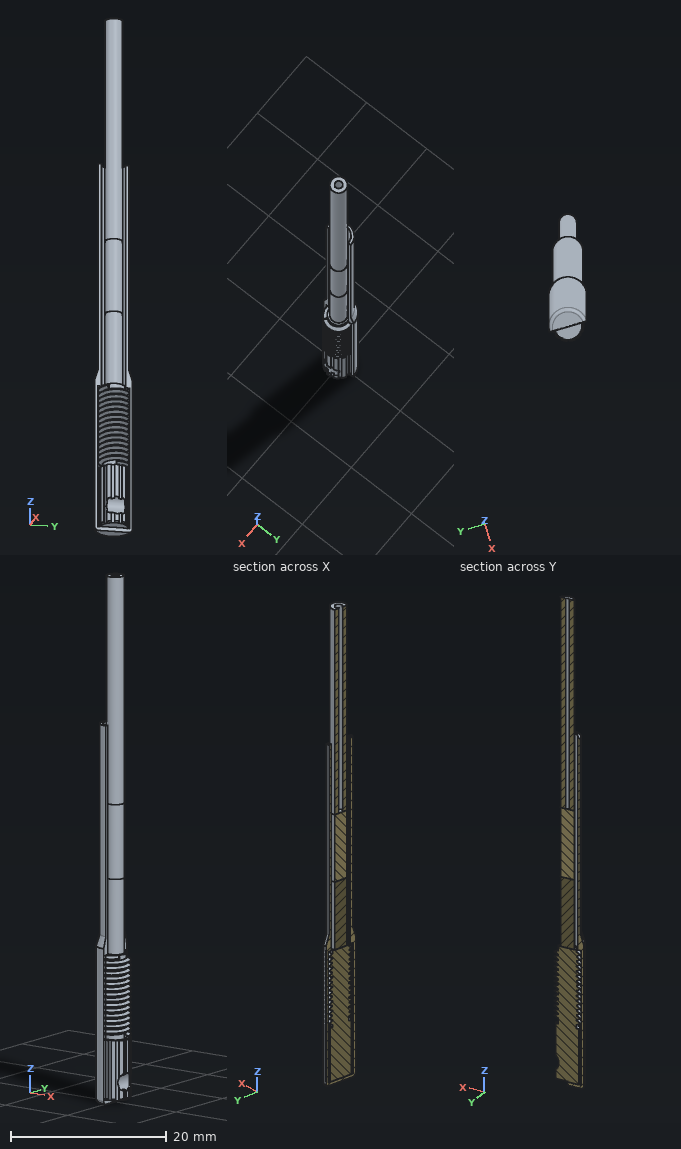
import cadquery as cq
import math

OVERALL_HEIGHT = 69.55

SLEEVE_RADIUS = 2.5
SLEEVE_NECK_RADIUS = 2.0
SLEEVE_HEIGHT = 50.0
SHOULDER_BOTTOM = 20.65
SHOULDER_TOP = 22.2
SLEEVE_END_FILLET = 0.5
SLEEVE_FLOOR = 0.55
CHAMBER_RADIUS = 2.1
NECK_BORE_RADIUS = 1.6

PLUG_RADIUS = 2.0
HEAD_BOTTOM = SLEEVE_FLOOR
HEAD_TOP = 8.5
HEAD_CHAMFER = 0.2
GROOVE_COUNT = 12
GROOVE_WIDTH = 0.4
GROOVE_DEPTH = 0.2
GROOVE_STEP = 360 / GROOVE_COUNT
NOTCH_RADIUS = 1.3
NOTCH_FLOOR_X = 1.3
NOTCH_HEIGHT = 2.9

THREAD_ANGLE = 60
PLUG_TOP = 19.7
THREAD_CREST_WIDTH = 0.03
THREAD_ROOT_RADIUS = 1.45
THREAD_ROOT_OVERLAP = 0.02
THREAD_BASE_RADIUS = THREAD_ROOT_RADIUS - THREAD_ROOT_OVERLAP
FLANK_SLOPE = math.tan(math.radians(THREAD_ANGLE / 2))
THREAD_START_Z = 8.9
THREAD_END_Z = 19.35
THREAD_TURNS = 14.9
THREAD_RISE = THREAD_END_Z - THREAD_START_Z
THREAD_PITCH = THREAD_RISE / THREAD_TURNS

ROD_DIAMETER = 2.3
ROD_RADIUS = ROD_DIAMETER / 2
POST_TOP = 29.6
COUPLING_TOP = 39.5
TUBE_BORE_RADIUS = 0.52


def cylinder(radius, bottom, top):
    """Solid cylinder on the Z axis between two heights."""
    return cq.Workplane("XY").workplane(offset=bottom).circle(radius).extrude(top - bottom)


def make_sleeve():
    """Half shell with a conical shoulder, a wide chamber and a narrower neck bore."""
    fillet_mid = SLEEVE_END_FILLET * (1 - math.sqrt(0.5))
    profile = (
        cq.Workplane("XZ")
        .moveTo(0, 0)
        .lineTo(-(SLEEVE_RADIUS - SLEEVE_END_FILLET), 0)
        .threePointArc((-(SLEEVE_RADIUS - fillet_mid), fillet_mid), (-SLEEVE_RADIUS, SLEEVE_END_FILLET))
        .lineTo(-SLEEVE_RADIUS, SHOULDER_BOTTOM)
        .lineTo(-SLEEVE_NECK_RADIUS, SHOULDER_TOP)
        .lineTo(-SLEEVE_NECK_RADIUS, SLEEVE_HEIGHT)
        .lineTo(-NECK_BORE_RADIUS, SLEEVE_HEIGHT)
        .lineTo(-NECK_BORE_RADIUS, PLUG_TOP)
        .lineTo(-CHAMBER_RADIUS, PLUG_TOP)
        .lineTo(-CHAMBER_RADIUS, SLEEVE_FLOOR)
        .lineTo(0, SLEEVE_FLOOR)
        .close()
    )
    full_sleeve = profile.revolve(360, (0, 0, 0), (0, 1, 0))
    keep_half = cq.Workplane("XY").box(
        SLEEVE_RADIUS, 2 * SLEEVE_RADIUS, SLEEVE_HEIGHT, centered=(False, True, False)
    ).translate((-SLEEVE_RADIUS, 0, 0))
    return full_sleeve.intersect(keep_half)


def make_head():
    """Grooved cylinder with a round notch across its +X side."""
    head = cylinder(PLUG_RADIUS, HEAD_BOTTOM, HEAD_TOP).faces("<Z").edges().chamfer(HEAD_CHAMFER)
    groove = cq.Workplane("XY").box(
        2 * GROOVE_DEPTH, GROOVE_WIDTH, HEAD_TOP, centered=(True, True, False)
    ).translate((PLUG_RADIUS, 0, 0))
    for index in range(GROOVE_COUNT):
        angle = (index + 0.5) * GROOVE_STEP
        head = head.cut(groove.rotate((0, 0, 0), (0, 0, 1), angle))
    notch = (
        cq.Workplane("XZ")
        .center(NOTCH_FLOOR_X + NOTCH_RADIUS, NOTCH_HEIGHT)
        .circle(NOTCH_RADIUS)
        .extrude(PLUG_RADIUS, both=True)
    )
    return head.cut(notch)


def make_thread():
    """Core cylinder wrapped by one helical ridge, which starts on the head and stops short of the top."""
    half_crest = THREAD_CREST_WIDTH / 2
    half_base = half_crest + (PLUG_RADIUS - THREAD_BASE_RADIUS) * FLANK_SLOPE
    path = cq.Wire.makeHelix(THREAD_PITCH, THREAD_RISE, THREAD_ROOT_RADIUS)
    ridge = (
        cq.Workplane("XZ")
        .moveTo(THREAD_BASE_RADIUS, -half_base)
        .lineTo(PLUG_RADIUS, -half_crest)
        .lineTo(PLUG_RADIUS, half_crest)
        .lineTo(THREAD_BASE_RADIUS, half_base)
        .close()
        .sweep(path, isFrenet=True)
        .translate((0, 0, THREAD_START_Z))
    )
    return cylinder(THREAD_ROOT_RADIUS, HEAD_TOP, PLUG_TOP).union(ridge)


def make_plug():
    """Head and thread as one body."""
    return make_head().union(make_thread())


def make_post():
    """Plain length of rod standing on the plug."""
    return cylinder(ROD_RADIUS, PLUG_TOP, POST_TOP)


def make_coupling():
    """Plain length of rod between post and tube."""
    return cylinder(ROD_RADIUS, POST_TOP, COUPLING_TOP)


def make_tube():
    """Upper length of the rod, bored through."""
    bore = cylinder(TUBE_BORE_RADIUS, COUPLING_TOP, OVERALL_HEIGHT)
    return cylinder(ROD_RADIUS, COUPLING_TOP, OVERALL_HEIGHT).cut(bore)


sleeve = make_sleeve()
plug = make_plug()
post = make_post()
coupling = make_coupling()
tube = make_tube()

bodies = [sleeve, plug, post, coupling, tube]
result = cq.Compound.makeCompound([body.solids().val() for body in bodies])